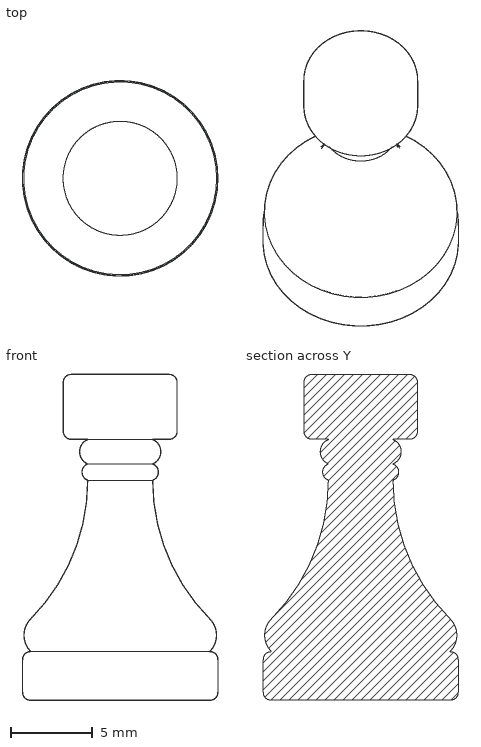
import cadquery as cq
import math

BASE_TOP = 3.0
BODY_RING_TOP = 5.0
STEM_TOP = 13.5
LOWER_COLLAR_TOP = 14.5
UPPER_COLLAR_TOP = 16.0
TOTAL_HEIGHT = 20.0

BASE_RADIUS = 6.0
HEAD_RADIUS = 3.5
NECK_RADIUS = 2.0
EDGE_ROUND = 0.5
BODY_RING_END_RADIUS = BASE_RADIUS - EDGE_ROUND

BODY_RING_BULGE = (BODY_RING_TOP - BASE_TOP) / 2 * math.tan(math.radians(90 / 4))
LOWER_COLLAR_BULGE = 0.35
UPPER_COLLAR_BULGE = 0.5


def rounded_disc(radius, bottom, top):
    """Cylinder with both rims rounded."""
    disc = cq.Workplane("XY").workplane(offset=bottom).circle(radius).extrude(top - bottom)
    return disc.edges("%CIRCLE").fillet(EDGE_ROUND)


def add_ring(profile, end_radius, bulge, bottom, top):
    """Continue the profile up a bulging ring, as two equal arcs meeting at its widest point."""
    middle = (bottom + top) / 2
    half_height = (top - bottom) / 2
    quarter_height = half_height / 2
    arc_radius = (half_height ** 2 + bulge ** 2) / (2 * bulge)
    arc_center = end_radius + bulge - arc_radius
    between_radius = arc_center + math.sqrt(arc_radius ** 2 - quarter_height ** 2)
    widest = (end_radius + bulge, middle)
    profile = profile.threePointArc((between_radius, middle - quarter_height), widest)
    return profile.threePointArc((between_radius, middle + quarter_height), (end_radius, top))


def add_flared_stem(profile):
    """Continue the profile up a concave arc that ends vertical at the neck."""
    rise = STEM_TOP - BODY_RING_TOP
    run = BODY_RING_END_RADIUS - NECK_RADIUS
    arc_radius = (rise ** 2 + run ** 2) / (2 * run)
    half_angle = math.asin(rise / arc_radius) / 2
    middle = (
        NECK_RADIUS + arc_radius * (1 - math.cos(half_angle)),
        STEM_TOP - arc_radius * math.sin(half_angle),
    )
    return profile.threePointArc(middle, (NECK_RADIUS, STEM_TOP))


def turned_body():
    """Everything between the base and the head, revolved about Z."""
    profile = cq.Workplane("XZ").moveTo(0, BASE_TOP).lineTo(BODY_RING_END_RADIUS, BASE_TOP)
    profile = add_ring(profile, BODY_RING_END_RADIUS, BODY_RING_BULGE, BASE_TOP, BODY_RING_TOP)
    profile = add_flared_stem(profile)
    profile = add_ring(profile, NECK_RADIUS, LOWER_COLLAR_BULGE, STEM_TOP, LOWER_COLLAR_TOP)
    profile = add_ring(profile, NECK_RADIUS, UPPER_COLLAR_BULGE, LOWER_COLLAR_TOP, UPPER_COLLAR_TOP)
    profile = profile.lineTo(0, UPPER_COLLAR_TOP).close()
    return profile.revolve(360, (0, 0, 0), (0, 1, 0))


base = rounded_disc(BASE_RADIUS, 0, BASE_TOP)
head = rounded_disc(HEAD_RADIUS, UPPER_COLLAR_TOP, TOTAL_HEIGHT)
result = base.union(turned_body()).union(head)